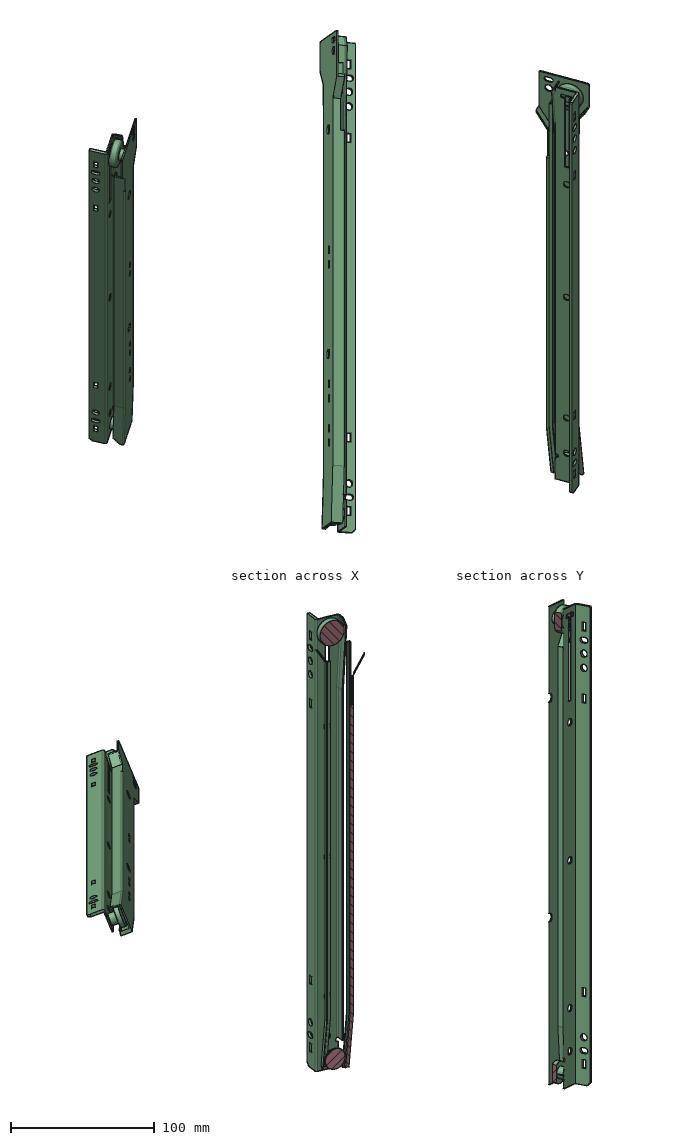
import cadquery as cq
import math

length = 350.0
sheet = 1.0
axle_inset = 9.8

wall_x = 12.0
wall_top = 20.3
foot_y = 2.5
foot_thickness = 2.0
foot_corner = 2.5
foot_top_corner = 0.7
foot_bend = 1.5

track_width = 7.0
track_y = 21.0
track_start = 22.8
flare_start = 294.0
flare_peak = 343.0
flare_y = 23.8
track_bend = 2.0
track_web = 4.0
relief_r = 1.8
relief_y, relief_z = 20.0, 21.0

foot_hole_x = 5.0
slot_width, slot_height = 2.8, 6.3
slot_insets = (15.5, 68.0)
oblong_length, oblong_height, oblong_inset = 6.3, 4.2, 25.2
foot_hole_d = 5.2
foot_hole_inset = 35.0
extra_hole_z = 304.5

wall_hole_y = 11.5
wall_hole_d = 5.2
wall_hole_z = (25.5, 57.0, 165.0, 265.5)
key_length, key_height, key_z = 9.5, 3.0, 343.7
key_slot_width, key_slot_bottom = 3.0, 281.0

drawer_hub_r = 4.5
drawer_roller_r = 8.0
drawer_roller_x = 18.2
drawer_roller_width = 3.5

plate_back = 25.0
plate_x = plate_back - sheet
channel_x = 16.8
channel_bottom = 7.5
channel_top = 27.0
lower_lip = 11.2
upper_lip = 24.5
tail_end = 1.0
tail_start = 41.0
tail_shift = 3.5
tail_corner = 5.2
lower_flange_end = 318.0
upper_flange_end = 329.7

stiffener_top = 29.0
stiffener_narrow_x = 19.0
stiffener_x = 16.5
stiffener_step = 281.0

bracket_top = 37.8
bracket_corner = 0.7
bracket_bottom_z = 329.0
brace_low, brace_high = 303.5, 317.0
bracket_hole_y = 30.5
bracket_oblong_length, bracket_oblong_height, bracket_oblong_z = 6.5, 4.0, 344.8
bracket_hole_d, bracket_hole_z = 5.5, 337.0

plate_hole_y = 19.0
plate_hole_d = 6.3
plate_hole_z = (123.0, 283.0)
plate_slot_y = 20.3
plate_slot_width, plate_slot_length = 2.0, 5.2
plate_slot_turn = 90
plate_slot_z = (59.0, 69.3, 90.5, 101.0, 186.5, 197.0)

cabinet_axle_y = 12.0
cabinet_roller_r = axle_inset
cabinet_roller_x = 14.0
cabinet_roller_width = 6.0
cabinet_hub_r = 4.2
roller_edge = 1.0
recess_r, recess_boss_r = 6.5, 2.5
recess_depth = 1.0


def box(x0, x1, y0, y1, z0, z1):
    return cq.Workplane("XY").box(x1 - x0, y1 - y0, z1 - z0, centered=False).translate((x0, y0, z0))


def side_plate(points, x0, x1):
    """Outline of (y, z) points, thickened from x0 to x1."""
    return cq.Workplane("YZ", origin=(x0, 0, 0)).polyline(points).close().extrude(x1 - x0)


def disc(y, z, radius, x0, x1):
    return cq.Workplane("YZ", origin=(x0, y, z)).circle(radius).extrude(x1 - x0)


def oblong(y, z, size, height, x0, x1, angle=0):
    """Round-ended slot cutter along X."""
    return cq.Workplane("YZ", origin=(x0, y, z)).slot2D(size, height, angle).extrude(x1 - x0)


def slanted(section, rise_y, rise_z):
    """Level section carried along a direction that leans in Y."""
    return cq.Workplane(cq.Solid.extrudeLinear(section.wires().val(), [], cq.Vector(0, rise_y, rise_z)))


def with_tail(section, top):
    """Section at the start of the tail, run straight up to the given height and down the set-over tail."""
    return slanted(section, 0, top - tail_start).union(slanted(section, -tail_shift, tail_end - tail_start))


def drawer_foot():
    foot = box(0, wall_x + sheet, foot_y, foot_y + foot_thickness, 0, length)
    foot = foot.edges("|Y and <X and <Z").chamfer(foot_corner)
    foot = foot.edges("|Y and <X and >Z").chamfer(foot_top_corner)
    foot = foot.edges("|Z and >X and <Y").fillet(foot_bend)
    plane = cq.Workplane("XZ", origin=(foot_hole_x, foot_y + foot_thickness, 0))
    slot_z = [z for inset in slot_insets for z in (inset, length - inset)]
    oblong_z = (oblong_inset, length - oblong_inset)
    hole_z = (foot_hole_inset, length - foot_hole_inset, extra_hole_z)
    slots = plane.pushPoints([(0, z) for z in slot_z]).rect(slot_width, slot_height).extrude(foot_thickness)
    oblong_centres = plane.pushPoints([(0, z) for z in oblong_z])
    oblongs = oblong_centres.slot2D(oblong_length, oblong_height).extrude(foot_thickness)
    holes = plane.pushPoints([(0, z) for z in hole_z]).circle(foot_hole_d / 2).extrude(foot_thickness)
    return foot.cut(slots).cut(oblongs).cut(holes)


def drawer_wall():
    x0, x1 = wall_x, wall_x + sheet
    wall = box(x0, x1, foot_y + foot_thickness, wall_top, 0, length)
    wall = wall.cut(disc(relief_y, relief_z, relief_r, x0, x1))
    for z in wall_hole_z:
        wall = wall.cut(disc(wall_hole_y, z, wall_hole_d / 2, x0, x1))
    wall = wall.cut(oblong(wall_hole_y, key_z, key_length, key_height, x0, x1))
    half = key_slot_width / 2
    return wall.cut(box(x0, x1, wall_hole_y - half, wall_hole_y + half, key_slot_bottom, key_z))


def drawer_track():
    """Folded top of the wall, with a raised run near the upper end."""
    inner_bend = track_bend - sheet
    top_line = [(track_y, track_start), (track_y, flare_start), (flare_y, flare_peak), (track_y, length)]
    track = cq.Workplane("XY")
    for (y0, z0), (y1, z1) in zip(top_line, top_line[1:]):
        section = (
            cq.Workplane("XY", origin=(wall_x, y0, z0))
            .moveTo(0, -track_web)
            .lineTo(0, -track_bend)
            .radiusArc((track_bend, 0), track_bend)
            .lineTo(track_width, 0)
            .lineTo(track_width, -sheet)
            .lineTo(track_bend, -sheet)
            .radiusArc((sheet, -track_bend), -inner_bend)
            .lineTo(sheet, -track_web)
            .close()
        )
        track = track.add(slanted(section, y1 - y0, z1 - z0))
    return track.combine()


def drawer_roller():
    """Roller inside the channel, centred on its set-over tail at the height of the axle."""
    shift = tail_shift * (tail_start - axle_inset) / (tail_start - tail_end)
    y = (channel_bottom + channel_top) / 2 - shift
    roller = disc(y, axle_inset, drawer_roller_r, drawer_roller_x, drawer_roller_x + drawer_roller_width)
    hub = disc(y, axle_inset, drawer_hub_r, wall_x + sheet, drawer_roller_x)
    return roller.union(hub)


def make_drawer_rail():
    return drawer_foot().union(drawer_wall()).union(drawer_track()).union(drawer_roller())


def cabinet_channel():
    inner_x = channel_x + sheet
    section = (
        cq.Workplane("XY", origin=(0, 0, tail_start))
        .polyline([
            (plate_x, channel_bottom), (channel_x, channel_bottom),
            (channel_x, lower_lip), (inner_x, lower_lip),
            (inner_x, channel_bottom + sheet), (plate_x, channel_bottom + sheet),
            (plate_x, channel_top - sheet), (inner_x, channel_top - sheet),
            (inner_x, upper_lip), (channel_x, upper_lip),
            (channel_x, channel_top), (plate_back, channel_top),
            (plate_back, channel_bottom + sheet),
        ])
        .radiusArc((plate_x, channel_bottom), sheet)
        .close()
    )
    channel = with_tail(section, lower_flange_end)
    corner_reach = tail_end + tail_corner
    corner = (
        cq.Workplane("XZ", origin=(channel_x, lower_lip, 0))
        .polyline([(0, 0), (corner_reach, 0), (0, corner_reach)]).close()
        .extrude(lower_lip)
    )
    channel = channel.cut(corner)
    upper = box(channel_x, plate_back, channel_top - sheet, channel_top, lower_flange_end, upper_flange_end)
    lip = box(channel_x, inner_x, upper_lip, channel_top, lower_flange_end, upper_flange_end)
    return channel.union(upper).union(lip)


def cabinet_stiffener():
    """Outer flange: wide and doubled along the rail, a single narrow sheet near the bracket."""
    section = (
        cq.Workplane("XY", origin=(0, 0, tail_start))
        .polyline([
            (stiffener_x, channel_top), (plate_back, channel_top),
            (plate_back, stiffener_top), (stiffener_x, stiffener_top),
        ])
        .close()
    )
    wide = with_tail(section, stiffener_step)
    narrow_y = stiffener_top - sheet
    narrow = box(stiffener_narrow_x, plate_back, narrow_y, stiffener_top, stiffener_step, brace_low)
    backing = box(plate_x, plate_back, channel_top, stiffener_top, stiffener_step, brace_low)
    return wide.union(narrow).union(backing)


def cabinet_bracket():
    """Wide mounting plate at the upper end with its two folded slanting edges."""
    outline = [
        (0, length), (0, bracket_bottom_z), (channel_bottom, lower_flange_end), (channel_bottom, brace_low),
        (stiffener_top, brace_low), (bracket_top, brace_high), (bracket_top, length),
    ]
    plate = side_plate(outline, plate_x, plate_back).edges("|X and >Z").chamfer(bracket_corner)
    plate = plate.cut(disc(bracket_hole_y, bracket_hole_z, bracket_hole_d / 2, plate_x, plate_back))
    plate = plate.cut(
        oblong(bracket_hole_y, bracket_oblong_z, bracket_oblong_length, bracket_oblong_height,
               plate_x, plate_back)
    )
    brace_slope = math.atan2(brace_high - brace_low, bracket_top - stiffener_top)
    rise = sheet / math.cos(brace_slope)
    brace = side_plate(
        [(stiffener_top, brace_low), (bracket_top, brace_high),
         (bracket_top, brace_high + rise), (stiffener_top, brace_low + rise)],
        stiffener_narrow_x, plate_back,
    )
    ramp = side_plate(
        [(0, bracket_bottom_z), (channel_bottom, lower_flange_end),
         (channel_bottom + sheet, lower_flange_end), (sheet, bracket_bottom_z)],
        channel_x, plate_back,
    )
    return plate.union(brace).union(ramp)


def cabinet_roller():
    z = length - axle_inset
    roller_end = cabinet_roller_x + cabinet_roller_width
    roller = disc(cabinet_axle_y, z, cabinet_roller_r, cabinet_roller_x, roller_end)
    roller = roller.edges("%CIRCLE").fillet(roller_edge)
    face = cq.Workplane("YZ", origin=(cabinet_roller_x, cabinet_axle_y, z))
    roller = roller.cut(face.circle(recess_r).circle(recess_boss_r).extrude(recess_depth))
    return roller.union(disc(cabinet_axle_y, z, cabinet_hub_r, roller_end, plate_x))


def make_cabinet_rail():
    rail = cabinet_channel().union(cabinet_stiffener()).union(cabinet_bracket())
    for z in plate_hole_z:
        rail = rail.cut(disc(plate_hole_y, z, plate_hole_d / 2, plate_x, plate_back))
    for z in plate_slot_z:
        rail = rail.cut(
            oblong(plate_slot_y, z, plate_slot_length, plate_slot_width, plate_x, plate_back, plate_slot_turn)
        )
    return rail.union(cabinet_roller())


drawer_rail = make_drawer_rail()
cabinet_rail = make_cabinet_rail()
result = cq.Compound.makeCompound([*drawer_rail.vals(), *cabinet_rail.vals()])